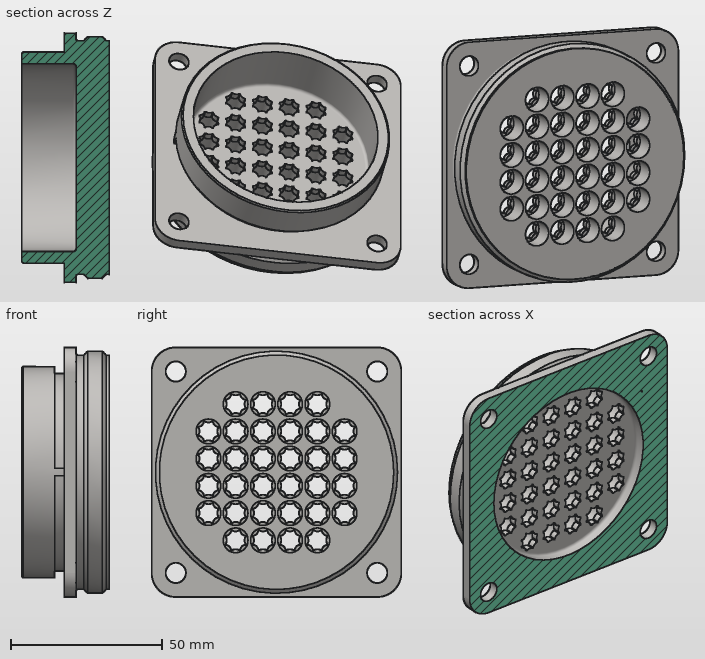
import cadquery as cq
import math

flange_side = 82.6
flange_thickness = 4.0
flange_front = 14.05
flange_back = flange_front + flange_thickness
corner_radius = 8.0
mount_hole_diameter = 6.6
mount_hole_spacing = flange_side - 2 * corner_radius

collar_diameter = 70.0
collar_length = 10.9
collar_chamfer = 0.5
undercut_root_fillet = 0.3
undercut_diameter = 65.5
socket_diameter = 62.0
socket_fillet = 1.0
key_width = 2.5

total_length = 29.0
barrel_diameter = 77.5
band_diameter = 80.0
band_chamfer = (band_diameter - barrel_diameter) / 2
band_front = 21.8
band_back = 26.7
barrel_root_fillet = 0.6

cavities_per_row = 6
cavity_pitch = 9.0
star_depth = 2.5
star_ribs = 8
star_tip_radius = 3.5
star_rib_radius = 2.9
rib_half_angle = math.radians(20)
cavity_diameter = 8.2


def disc(diameter, start, end):
    """Solid cylinder about the X axis between two X positions."""
    return cq.Workplane("YZ", origin=(start, 0, 0)).circle(diameter / 2).extrude(end - start)


def flange():
    plate = (
        cq.Workplane("YZ", origin=(flange_front, 0, 0))
        .rect(flange_side, flange_side)
        .extrude(flange_thickness)
        .edges("|X")
        .fillet(corner_radius)
    )
    return (
        plate.faces("<X")
        .workplane(centerOption="CenterOfBoundBox")
        .rect(mount_hole_spacing, mount_hole_spacing, forConstruction=True)
        .vertices()
        .hole(mount_hole_diameter)
    )


def collar():
    ring = disc(collar_diameter, 0, collar_length).faces("<X").chamfer(collar_chamfer)
    neck = disc(undercut_diameter, collar_length, flange_front)
    root_edge = cq.selectors.RadiusNthSelector(0)
    return ring.union(neck).faces(">X[1]").edges(root_edge).fillet(undercut_root_fillet)


def keys():
    """Two keys bridging the undercut on the +Y and -Y sides, flush with the collar."""
    bar = cq.Workplane("XY").box(
        flange_front - collar_length, collar_diameter, key_width, centered=(False, True, True)
    ).translate((collar_length, 0, 0))
    return bar.intersect(disc(collar_diameter, collar_length, flange_front))


def barrel():
    """Rear barrel turned about the X axis."""
    barrel_radius = barrel_diameter / 2
    band_radius = band_diameter / 2
    root_radius = barrel_radius + barrel_root_fillet
    root_end = flange_back + barrel_root_fillet
    root_middle = (
        root_end - barrel_root_fillet * math.sin(math.pi / 4),
        root_radius - barrel_root_fillet * math.cos(math.pi / 4),
    )
    return (
        cq.Workplane("XY")
        .moveTo(flange_back, 0)
        .lineTo(flange_back, root_radius)
        .threePointArc(root_middle, (root_end, barrel_radius))
        .lineTo(band_front - band_chamfer, barrel_radius)
        .lineTo(band_front, band_radius)
        .lineTo(band_back, band_radius)
        .lineTo(band_back + band_chamfer, barrel_radius)
        .lineTo(total_length, barrel_radius)
        .lineTo(total_length, 0)
        .close()
        .revolve(360, (0, 0, 0), (1, 0, 0))
    )


def socket():
    """Blind front bore whose floor lies level with the back of the flange."""
    return disc(socket_diameter, 0, flange_back).faces(">X").edges().fillet(socket_fillet)


def cavity_centres():
    """Square grid with one cavity left out at each corner."""
    half_span = (cavities_per_row - 1) / 2
    offsets = [i - half_span for i in range(cavities_per_row)]
    return [
        (y * cavity_pitch, z * cavity_pitch)
        for y in offsets
        for z in offsets
        if abs(y) + abs(z) < 2 * half_span
    ]


def polar(radius, angle):
    return (radius * math.cos(angle), radius * math.sin(angle))


def cavity():
    """One contact cavity: the star mouth has ribs that bulge toward its axis."""
    step = 2 * math.pi / star_ribs
    star = cq.Workplane("YZ", origin=(flange_back, 0, 0)).moveTo(*polar(star_tip_radius, -rib_half_angle))
    for rib in range(star_ribs):
        rib_angle = step * rib
        star = star.threePointArc(
            polar(star_rib_radius, rib_angle),
            polar(star_tip_radius, rib_angle + rib_half_angle),
        ).threePointArc(
            polar(star_tip_radius, rib_angle + step / 2),
            polar(star_tip_radius, rib_angle + step - rib_half_angle),
        )
    mouth = star.close().extrude(star_depth)
    return mouth.union(disc(cavity_diameter, flange_back + star_depth, total_length))


body = flange().union(collar()).union(keys()).union(barrel()).cut(socket())

one_cavity = cavity().val()
cavities = [one_cavity.translate(cq.Vector(0, y, z)) for y, z in cavity_centres()]
result = body.cut(cq.Workplane(cq.Compound.makeCompound(cavities)))